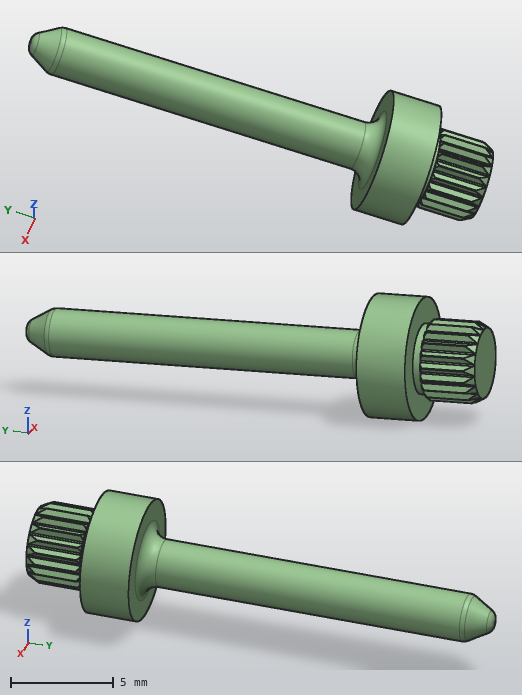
import cadquery as cq
import math

total_length = 23.48
collar_diameter = 6.1
collar_length = 2.5
shaft_diameter = 2.4
shaft_root_fillet = 0.8

tip_length = 1.31
tip_half_angle = 30.0
tip_rounding = 0.5

head_length = 3.17
neck_length = 0.4
neck_diameter = 3.5
knurl_diameter = 4.05
tooth_count = 20
tooth_tip_width = 0.05
valley_width = 0.1
valley_diameter = 3.57
lead_chamfer_angle = 28.0
rear_chamfer = 0.15

selection_margin = 0.02

shaft_radius = shaft_diameter / 2
neck_radius = neck_diameter / 2
knurl_radius = knurl_diameter / 2
valley_radius = valley_diameter / 2
lead_chamfer_length = (knurl_radius - neck_radius) / math.tan(math.radians(lead_chamfer_angle))
tip_end = total_length - head_length
tip_start = tip_end - tip_length
tip_end_radius = shaft_radius - tip_length * math.tan(math.radians(tip_half_angle))


def turned(profile):
    """Revolve a closed (radius, Y) outline around the Y axis."""
    return (
        cq.Workplane("XY")
        .polyline(profile)
        .close()
        .revolve(360, (0, 0, 0), (0, 1, 0))
    )


def polar_point(radius, angle):
    """Point at a radius and an angle in radians."""
    return (radius * math.cos(angle), radius * math.sin(angle))


def circles_between(body, y_low, y_high):
    """Select the circular edges whose centers lie from y_low to y_high."""
    reach = collar_diameter
    box = cq.selectors.BoxSelector(
        (-reach, y_low - selection_margin, -reach),
        (reach, y_high + selection_margin, reach),
    )
    return body.edges("%CIRCLE").edges(box)


def make_shaft_and_collar():
    """Collar and shaft with a filleted root and a rounded conical tip."""
    collar_radius = collar_diameter / 2
    body = turned([
        (0, 0),
        (collar_radius, 0),
        (collar_radius, collar_length),
        (shaft_radius, collar_length),
        (shaft_radius, tip_start),
        (tip_end_radius, tip_end),
        (0, tip_end),
    ])
    body = circles_between(body, tip_start, tip_end).fillet(tip_rounding)
    collar_back = circles_between(body, collar_length, collar_length)
    smallest = cq.selectors.RadiusNthSelector(0)
    return collar_back.edges(smallest).fillet(shaft_root_fillet)


def make_neck():
    """Plain round core from the collar to the end of the head."""
    return cq.Workplane("XZ").circle(neck_radius).extrude(head_length)


def make_knurl():
    """Ring of teeth with narrow tips and narrow flats between them, chamfered at both ends."""
    half_pitch = math.pi / tooth_count
    half_valley = valley_width / 2 / valley_radius
    half_tip = tooth_tip_width / 2 / knurl_radius
    outline = []
    for tooth in range(tooth_count):
        tip_angle = 2 * half_pitch * tooth
        valley_angle = tip_angle + half_pitch
        outline.append(polar_point(knurl_radius, tip_angle - half_tip))
        outline.append(polar_point(knurl_radius, tip_angle + half_tip))
        outline.append(polar_point(valley_radius, valley_angle - half_valley))
        outline.append(polar_point(valley_radius, valley_angle + half_valley))
    teeth = (
        cq.Workplane("XZ", origin=(0, -neck_length, 0))
        .polyline(outline)
        .close()
        .extrude(head_length - neck_length)
    )
    envelope = turned([
        (0, -neck_length),
        (knurl_radius - rear_chamfer, -neck_length),
        (knurl_radius, -neck_length - rear_chamfer),
        (knurl_radius, -head_length + lead_chamfer_length),
        (neck_radius, -head_length),
        (0, -head_length),
    ])
    return teeth.intersect(envelope)


result = make_shaft_and_collar().union(make_neck()).union(make_knurl())